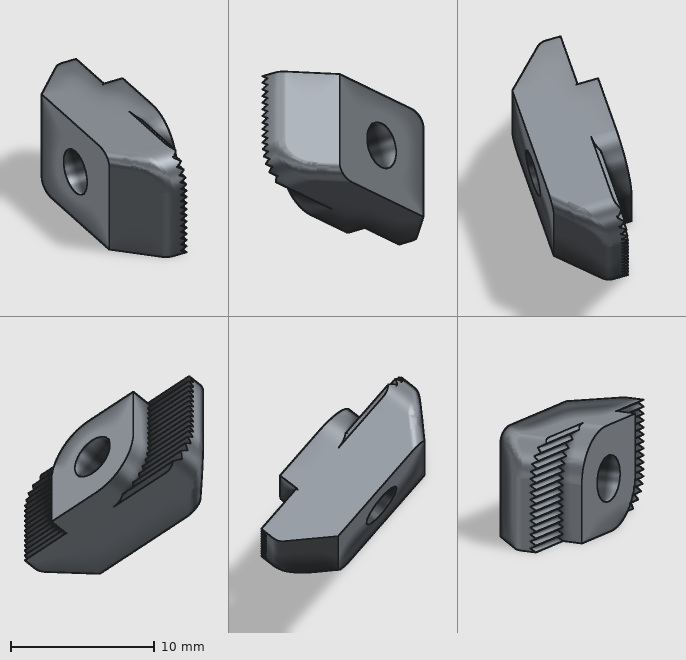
import cadquery as cq
import math

length = 15.5
height = 7.7
depth = 6.0
neck_depth = 1.5
neck_width = height
neck_round = 3.5
corner_round = 2.5
flank_run = 2.99
flank_fillet = 1.0
hole_diameter = 3.3
teeth_over_height = 15.4
tooth_angle = 60.0

wing_back = depth - neck_depth
tooth_pitch = height / teeth_over_height
tooth_depth = tooth_pitch / 2 / math.tan(math.radians(tooth_angle / 2))


def half_turned(shape):
    """Turn a shape half way round the hole axis."""
    return shape.rotate((0, 0, 0), (0, 1, 0), 180)


def turning_block(width, round_radius, front, back):
    """Block with its (-X, -Z) and (+X, +Z) corners rounded so that it can turn in a slot."""
    block = cq.Workplane("XY").box(width, back - front, height).translate((0, (front + back) / 2, 0))
    return block.edges("|Y").edges("(<X and <Z) or (>X and >Z)").fillet(round_radius)


def make_body():
    """Wide body with 45 degree flanks, whose outer edges are filleted round the turned corners."""
    half_length = length / 2
    body = turning_block(length, corner_round, 0, wing_back)
    flanked_outline = (
        cq.Workplane("XY")
        .polyline([
            (-half_length + flank_run, 0),
            (half_length - flank_run, 0),
            (half_length, flank_run),
            (half_length, wing_back),
            (-half_length, wing_back),
            (-half_length, flank_run),
        ])
        .close()
        .extrude(height / 2, both=True)
    )
    body = body.intersect(flanked_outline)
    for side in (-1, 1):
        outer_edge = cq.selectors.NearestToPointSelector((side * half_length, flank_run, -side * corner_round / 2))
        body = body.edges(outer_edge).fillet(flank_fillet)
    return body


def make_serrations():
    """V grooves across the back of the -X wing, with the first tooth tip at the top face."""
    groove_count = math.ceil(teeth_over_height)
    grooves = cq.Workplane("YZ", origin=(-length / 2, 0, 0))
    for index in range(groove_count):
        tip = height / 2 - index * tooth_pitch
        grooves = (
            grooves.moveTo(wing_back, tip)
            .lineTo(wing_back - tooth_depth, tip - tooth_pitch / 2)
            .lineTo(wing_back, tip - tooth_pitch)
            .close()
        )
    return grooves.extrude(length / 2)


neck = turning_block(neck_width, neck_round, wing_back - tooth_depth, depth)
left_serrations = make_serrations()

result = (
    make_body()
    .cut(left_serrations)
    .cut(half_turned(left_serrations))
    .union(neck)
    .cut(cq.Workplane("XZ").circle(hole_diameter / 2).extrude(-depth))
)